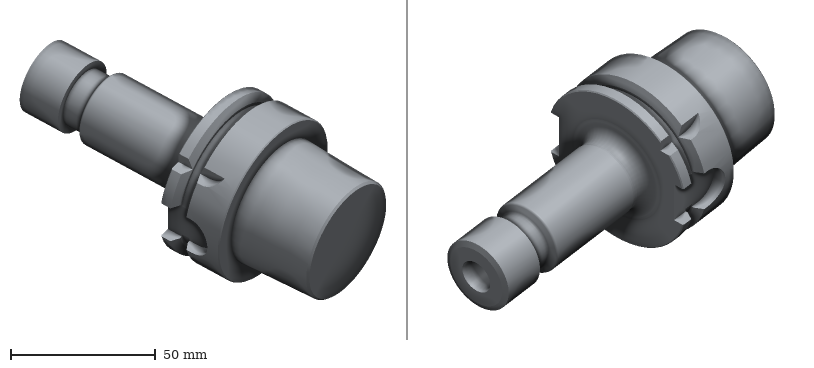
import cadquery as cq
import math

total_length = 132
head_end = 17.4
neck_end = 24.3
body_end = 66.8
flange_start = 74.0
groove_start = 80.1
groove_end = 83.4
flange_end = 99.9

head_diameter = 28.0
face_diameter = 23.6
neck_diameter = 22.0
root_diameter = 27.5
flange_diameter = 63.0
groove_diameter = 54.4
groove_wall_diameter = 56.8
shank_large_diameter = 48.3
shank_small_diameter = 45.7

face_chamfer_length = 0.9
body_shoulder_length = 1.0
neck_blend_radius = 1.0
neck_shoulder_angle = 60
root_fillet = 5.3
root_land_height = 0.3
root_land_diameter = 40.4
flange_chamfer = 0.4
tip_chamfer = 0.8
groove_flank_angle = 30

slot_floor = 26.3
slot_tip = 95
front_slot_width = 16.4
rear_slot_width = 18.0
rear_slot_corner = 7.9
notch_edge = 20.0

recess_diameter = 12.7
recess_depth = 3.3
seat_start = 9.9
seat_diameter = 11.0
bore_diameter = 8.5
seat_angle = 60
bore_end = 26.4
drill_point_angle = 118

flange_radius = flange_diameter / 2
cut_margin = 1.3


def make_body():
    """Revolve the complete outer profile about the X axis."""
    head_radius = head_diameter / 2
    neck_radius = neck_diameter / 2
    root_radius = root_diameter / 2
    groove_radius = groove_diameter / 2
    groove_wall_radius = groove_wall_diameter / 2
    shank_tip_radius = shank_small_diameter / 2
    flank_length = (flange_radius - groove_wall_radius) * math.tan(math.radians(groove_flank_angle))
    fillet_end = flange_start - root_land_height
    fillet_start = fillet_end - root_fillet
    fillet_offset = root_fillet * math.sin(math.radians(45))
    fillet_middle = (
        fillet_start + fillet_offset,
        root_radius + root_fillet - fillet_offset,
    )

    shoulder_angle = math.radians(neck_shoulder_angle)
    blend_length = neck_blend_radius * math.sin(shoulder_angle)
    blend_height = neck_blend_radius * (1 - math.cos(shoulder_angle))
    half_blend_length = neck_blend_radius * math.sin(shoulder_angle / 2)
    half_blend_height = neck_blend_radius * (1 - math.cos(shoulder_angle / 2))
    cone_height = head_radius - neck_radius - 2 * blend_height
    shoulder_end = neck_end + 2 * blend_length + cone_height / math.tan(shoulder_angle)

    profile = (
        cq.Workplane("XY")
        .moveTo(0, 0)
        .lineTo(0, face_diameter / 2)
        .lineTo(face_chamfer_length, head_radius)
        .lineTo(head_end, head_radius)
        .lineTo(head_end, neck_radius)
        .lineTo(neck_end, neck_radius)
        .threePointArc(
            (neck_end + half_blend_length, neck_radius + half_blend_height),
            (neck_end + blend_length, neck_radius + blend_height),
        )
        .lineTo(shoulder_end - blend_length, head_radius - blend_height)
        .threePointArc(
            (shoulder_end - half_blend_length, head_radius - half_blend_height),
            (shoulder_end, head_radius),
        )
        .lineTo(body_end, head_radius)
        .lineTo(body_end + body_shoulder_length, root_radius)
        .lineTo(fillet_start, root_radius)
        .threePointArc(fillet_middle, (fillet_end, root_radius + root_fillet))
        .lineTo(flange_start, root_land_diameter / 2)
        .lineTo(flange_start, flange_radius - flange_chamfer)
        .lineTo(flange_start + flange_chamfer, flange_radius)
        .lineTo(groove_start - flank_length, flange_radius)
        .lineTo(groove_start, groove_wall_radius)
        .lineTo(groove_start, groove_radius)
        .lineTo(groove_end, groove_radius)
        .lineTo(groove_end, groove_wall_radius)
        .lineTo(groove_end + flank_length, flange_radius)
        .lineTo(flange_end - flange_chamfer, flange_radius)
        .lineTo(flange_end, flange_radius - flange_chamfer)
        .lineTo(flange_end, shank_large_diameter / 2)
        .lineTo(total_length - tip_chamfer, shank_tip_radius)
        .lineTo(total_length, shank_tip_radius - tip_chamfer)
        .lineTo(total_length, 0)
        .close()
    )
    return profile.revolve(360, (0, 0, 0), (1, 0, 0))


def make_rear_slot():
    """Slot cutter with rounded end corners on the +Y side."""
    start = flange_start - cut_margin
    depth = flange_radius + cut_margin - slot_floor
    slot = cq.Workplane("XY").box(
        slot_tip - start, depth, rear_slot_width, centered=(False, False, True)
    )
    slot = slot.edges("|Y and >X").fillet(rear_slot_corner)
    return slot.translate((start, slot_floor, 0))


def make_front_slot(floor, center_z=0):
    """Round-ended slot cutter on the -Y side."""
    radius = front_slot_width / 2
    start = flange_start - cut_margin
    depth = flange_radius + cut_margin - floor
    channel = cq.Workplane("XY").box(
        slot_tip - radius - start, depth, front_slot_width, centered=(False, False, True)
    )
    channel = channel.translate((start, -floor - depth, center_z))
    round_end = (
        cq.Workplane("XZ", origin=(slot_tip - radius, -floor, center_z))
        .circle(radius)
        .extrude(depth)
    )
    return channel.union(round_end)


def make_center_hole():
    """Tapered recess, counterbore, conical seat and drilled bore along the X axis."""
    seat_radius = seat_diameter / 2
    bore_radius = bore_diameter / 2
    seat_length = (seat_radius - bore_radius) / math.tan(math.radians(seat_angle / 2))
    point_length = bore_radius / math.tan(math.radians(drill_point_angle / 2))
    profile = (
        cq.Workplane("XY")
        .moveTo(0, 0)
        .lineTo(0, recess_diameter / 2)
        .lineTo(recess_depth, seat_radius)
        .lineTo(seat_start, seat_radius)
        .lineTo(seat_start + seat_length, bore_radius)
        .lineTo(bore_end, bore_radius)
        .lineTo(bore_end + point_length, 0)
        .close()
    )
    return profile.revolve(360, (0, 0, 0), (1, 0, 0))


front_slot = make_front_slot(slot_floor)
rear_slot = make_rear_slot()
notch = make_front_slot(notch_edge, notch_edge + front_slot_width / 2)

result = make_body().cut(front_slot).cut(rear_slot).cut(notch).cut(make_center_hole())